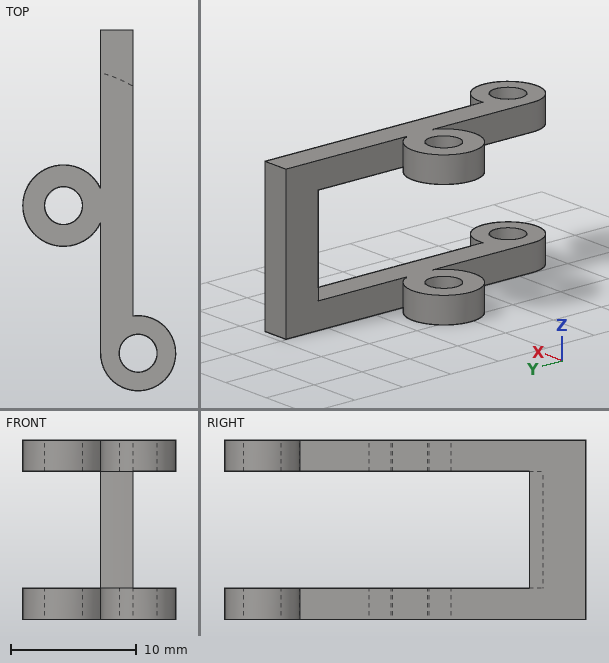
import math

import cadquery as cq

height = 14.3
arm_thickness = 2.5
bar_width = 2.6

hole_diameter = 3.0
end_eyelet_diameter = 6.0
side_eyelet_diameter = 6.5
side_eyelet_offset = 2.94
side_eyelet_y = 11.75

bar_left = -end_eyelet_diameter / 2
bar_right = bar_left + bar_width
bar_end_y = 25.75
web_face_radius = 11.0

side_eyelet_center = (bar_left - side_eyelet_offset, side_eyelet_y)
end_eyelet_center = (0, 0)
upper_arm_z = height - arm_thickness


def disc(center, diameter, bottom_z):
    """Vertical disc as thick as an arm."""
    return cq.Workplane("XY", origin=(*center, bottom_z)).circle(diameter / 2).extrude(arm_thickness)


def make_arm(bottom_z):
    """Flat bar with an eyelet at its end and another beside it."""
    arm = (
        cq.Workplane("XY", origin=(0, 0, bottom_z))
        .moveTo(bar_left, 0)
        .lineTo(bar_right, 0)
        .lineTo(bar_right, bar_end_y)
        .lineTo(bar_left, bar_end_y)
        .close()
        .extrude(arm_thickness)
    )
    arm = arm.union(disc(end_eyelet_center, end_eyelet_diameter, bottom_z))
    arm = arm.union(disc(side_eyelet_center, side_eyelet_diameter, bottom_z))
    for center in (end_eyelet_center, side_eyelet_center):
        arm = arm.cut(disc(center, hole_diameter, bottom_z))
    return arm


def web_face_point(x):
    """Point at the given X on the concave inner face of the web."""
    center_x, center_y = side_eyelet_center
    return (x, center_y + math.sqrt(web_face_radius**2 - (x - center_x) ** 2))


def make_web():
    """Back web joining the arms, with a concave inner face centred on the side eyelet."""
    bar_middle = (bar_left + bar_right) / 2
    return (
        cq.Workplane("XY")
        .moveTo(bar_left, bar_end_y)
        .lineTo(*web_face_point(bar_left))
        .threePointArc(web_face_point(bar_middle), web_face_point(bar_right))
        .lineTo(bar_right, bar_end_y)
        .close()
        .extrude(height)
    )


result = make_web()
for arm_bottom_z in (0, upper_arm_z):
    result = result.union(make_arm(arm_bottom_z))